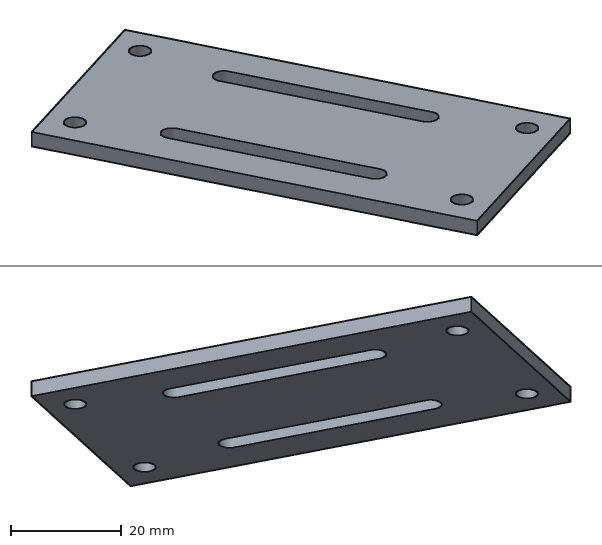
import cadquery as cq

plate_length = 87.5
plate_width = 43.0
plate_thickness = 3.0

hole_diameter = 4.0
hole_spacing_x = 76.0
hole_spacing_y = 30.0

slot_length = 44.0
slot_width = 4.0
slot_spacing = 24.0
slot_center_x = -0.3

plate = cq.Workplane("XY").box(plate_length, plate_width, plate_thickness)

corner_holes = (
    cq.Workplane("XY")
    .rect(hole_spacing_x, hole_spacing_y, forConstruction=True)
    .vertices()
    .circle(hole_diameter / 2)
    .extrude(plate_thickness, both=True)
)

slots = (
    cq.Workplane("XY")
    .pushPoints([(slot_center_x, side * slot_spacing / 2) for side in (-1, 1)])
    .slot2D(slot_length, slot_width)
    .extrude(plate_thickness, both=True)
)

result = plate.cut(corner_holes).cut(slots)